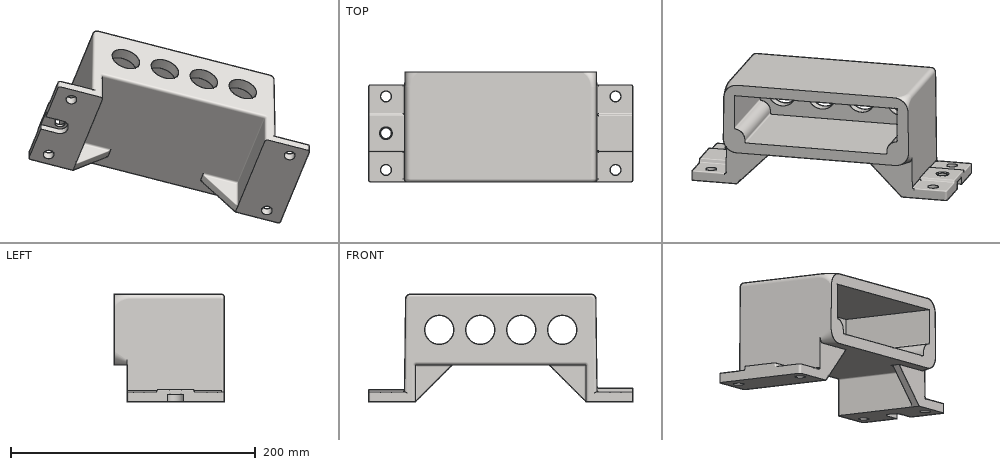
import cadquery as cq
import math

length = 216.0
depth = 90.0
height = 88.0

top_half_width = 77.8
base_half_width = 78.8
leg_inner_half = 69.8
leg_corner_round = 0.9
leg_depth = 79.5
underside_z = 30.0
front_round = 2.4

side_round = 4.0
rear_round = 11.5
flare_length = 12.7
flare_steps = 4

wall = 9.0
cavity_half_width = top_half_width - wall
cavity_floor_z = underside_z + wall
cavity_top_z = height - wall
boss_radius = 8.6
boss_rise = 2.5
boss_blend = 1.3

front_hole_count = 4
front_hole_pitch = 33.5
front_hole_diameter = 23.5
front_hole_z = 58.7

web_reach = underside_z
web_thickness = 6.5
web_blend = 1.7
web_edge_round = 0.6

foot_height = 8.0
foot_corner_round = 2.0
foot_edge_round = 0.9
pad_center_y = 40.0
pad_width = 30.2
left_pad_height = 10.0
right_pad_height = 11.2
pad_edge_round = 0.9
pad_rear_lean = 1.0
cove_radius = 1.3
foot_hole_x = 93.7
foot_hole_diameter = 8.6
foot_hole_pitch = 60.0
pad_hole_chamfer = 0.9
slot_width = 13.4
slot_height = 6.0

margin = 0.6


def side_x(z):
    """Half width of the drafted housing at height z."""
    return base_half_width + (top_half_width - base_half_width) * z / height


def front_plane(y):
    """XZ sketch plane at depth y; extruding runs toward +Y."""
    return cq.Workplane(cq.Plane(origin=(0, y, 0), xDir=(1, 0, 0), normal=(0, -1, 0)))


def prism(points, y_start, y_end):
    """Solid with the given XZ outline, running between two depths."""
    return front_plane(y_start).polyline(points).close().extrude(y_start - y_end)


def mirrored(points):
    """Closed outline from its right half, listed from the top down."""
    return points + [(-x, z) for x, z in reversed(points)]


def round_nearest_edge(body, point, radius):
    """Fillet the one edge whose center lies nearest the point."""
    return body.edges(cq.selectors.NearestToPointSelector(point)).fillet(radius)


def corner_wire(z, direction, setback, y):
    """Sliver between a sharp housing corner at height z and its rounding arc."""
    corner = cq.Vector(side_x(z), y, z)
    inward = cq.Vector(-1, 0, 0)
    next_z = z + direction
    along = cq.Vector(side_x(next_z), y, next_z).sub(corner).normalized()
    half_angle = inward.getAngle(along) / 2
    radius = setback * math.tan(half_angle)
    bisector = inward.add(along).normalized()
    start = corner.add(inward.multiply(setback))
    middle = corner.add(bisector.multiply(radius / math.sin(half_angle) - radius))
    end = corner.add(along.multiply(setback))
    edges = [
        cq.Edge.makeLine(corner, start),
        cq.Edge.makeThreePointArc(start, middle, end),
        cq.Edge.makeLine(end, corner),
    ]
    return cq.Wire.assembleEdges(edges)


def corner_cutter(z, direction, stations):
    """Material to remove along one long corner, given (depth, setback) stations."""
    wires = [corner_wire(z, direction, setback, y) for y, setback in stations]
    ruled = len(stations) == 2
    return cq.Workplane(obj=cq.Solid.makeLoft(wires, ruled))


def flare_stations():
    """Stations whose setback grows along a circular arc that starts tangent."""
    rise = rear_round - side_round
    arc_radius = (flare_length**2 + rise**2) / (2 * rise)
    stations = []
    for step in range(flare_steps + 1):
        run = flare_length * step / flare_steps
        setback = side_round + arc_radius - math.sqrt(arc_radius**2 - run**2)
        stations.append((depth - flare_length + run, setback))
    return stations


def make_housing():
    outline = mirrored([
        (side_x(height), height),
        (side_x(0), 0),
        (leg_inner_half, 0),
        (leg_inner_half, underside_z),
    ])
    overhang = mirrored([(side_x(height), height), (side_x(underside_z), underside_z)])
    housing = prism(outline, 0, leg_depth)
    for side in (-1, 1):
        corner = (side * leg_inner_half, leg_depth / 2, underside_z)
        housing = round_nearest_edge(housing, corner, leg_corner_round)
    housing = housing.union(prism(overhang, leg_depth, depth))
    flare_start = depth - flare_length
    cutters = [
        corner_cutter(height, -2.2, [(0, side_round), (flare_start, side_round)]),
        corner_cutter(height, -2.2, flare_stations()),
        corner_cutter(underside_z, 2.2, [(leg_depth, side_round), (depth, rear_round)]),
    ]
    for cutter in cutters:
        housing = housing.cut(cutter).cut(cutter.mirror("YZ"))
    return housing.faces("<Y").edges("not <Z").fillet(front_round)


def make_webs():
    outline = [
        (leg_inner_half, 0),
        (leg_inner_half, underside_z),
        (leg_inner_half - web_reach, underside_z),
    ]
    web = prism(outline, leg_depth - web_thickness, leg_depth)
    return web.union(web.mirror("YZ"))


def make_cavity():
    """Open-backed cavity with a rounded boss left standing in each lower corner."""
    section_width = 2 * cavity_half_width
    section_height = cavity_top_z - cavity_floor_z
    cavity = (
        front_plane(wall)
        .center(0, cavity_floor_z + section_height / 2)
        .rect(section_width, section_height)
        .extrude(wall - depth)
    )
    bosses = (
        front_plane(wall)
        .pushPoints([(side * cavity_half_width, cavity_floor_z + boss_rise) for side in (-1, 1)])
        .circle(boss_radius)
        .extrude(wall - depth)
    )
    fill = (
        front_plane(wall)
        .pushPoints([(side * cavity_half_width, cavity_floor_z) for side in (-1, 1)])
        .rect(2 * boss_radius, 2 * boss_rise)
        .extrude(wall - depth)
    )
    cavity = cavity.cut(bosses).cut(fill)
    floor_seam_x = cavity_half_width - boss_radius
    wall_seam_z = cavity_floor_z + boss_rise + boss_radius
    seams = [
        (side * x, z)
        for side in (-1, 1)
        for x, z in ((floor_seam_x, cavity_floor_z), (cavity_half_width, wall_seam_z))
    ]
    for x, z in seams:
        cavity = round_nearest_edge(cavity, (x, (wall + depth) / 2, z), boss_blend)
    return cavity


def make_front_holes():
    return (
        front_plane(0)
        .center(0, front_hole_z)
        .rarray(front_hole_pitch, 2.2, front_hole_count, 1)
        .circle(front_hole_diameter / 2)
        .extrude(-depth)
    )


def make_foot(side, pad_height):
    """One foot with its raised middle pad; side is -1 or 1."""
    inner_x = side * (leg_inner_half + front_round)
    foot_width = length / 2 - abs(inner_x)
    pad_start = pad_center_y - pad_width / 2
    pad_end = pad_center_y + pad_width / 2
    foot = (
        cq.Workplane("YZ", origin=(inner_x, 0, 0))
        .polyline([
            (0, 0),
            (leg_depth, 0),
            (leg_depth, foot_height),
            (pad_end + pad_rear_lean / 2, foot_height),
            (pad_end - pad_rear_lean / 2, pad_height),
            (pad_start, pad_height),
            (pad_start, foot_height),
            (0, foot_height),
        ])
        .close()
        .extrude(side * foot_width)
    )
    step_zone = cq.selectors.BoxSelector(
        (-length, pad_start - margin, foot_height - margin),
        (length, pad_end + pad_rear_lean, pad_height + margin),
    )
    outer_face = ">X" if side > 0 else "<X"
    foot = foot.edges("|X").edges(step_zone).fillet(pad_edge_round)
    foot = foot.faces(outer_face).edges("|Z").edges("<Y or >Y").fillet(foot_corner_round)
    foot = foot.faces(outer_face).edges(">Z").fillet(foot_edge_round)
    holes = (
        cq.Workplane()
        .center(side * foot_hole_x, pad_center_y)
        .rarray(2.2, foot_hole_pitch, 1, 2)
        .circle(foot_hole_diameter / 2)
        .extrude(height)
    )
    return foot.cut(holes)


def make_pad_hole():
    """Hole through the left pad, chamfered on top, over an open-ended slot underneath."""
    start = cq.Workplane().center(-foot_hole_x, pad_center_y)
    hole = start.circle(foot_hole_diameter / 2).extrude(left_pad_height)
    cone = (
        start.workplane(offset=left_pad_height - pad_hole_chamfer)
        .circle(foot_hole_diameter / 2)
        .workplane(offset=pad_hole_chamfer)
        .circle(foot_hole_diameter / 2 + pad_hole_chamfer)
        .loft()
    )
    slot_end = start.circle(slot_width / 2).extrude(slot_height)
    slot = (
        start.center(-(length / 2 - foot_hole_x) / 2, 0)
        .rect(length / 2 - foot_hole_x, slot_width)
        .extrude(slot_height)
    )
    return hole.union(cone).union(slot_end).union(slot)


def blend_webs(body):
    """Blend the web fronts into the legs and the underside, and round their sloping edges."""
    front_y = leg_depth - web_thickness
    for side in (-1, 1):
        inner, outer = sorted((side * (leg_inner_half - margin), side * (leg_inner_half + margin)))
        leg_zone = cq.selectors.BoxSelector(
            (inner, front_y - margin, 0), (outer, front_y + margin, underside_z + margin)
        )
        inner, outer = sorted((0, side * (leg_inner_half + margin)))
        roof_zone = cq.selectors.BoxSelector(
            (inner, front_y - margin, underside_z - margin),
            (outer, front_y + margin, underside_z + margin),
        )
        body = body.edges(leg_zone + roof_zone).fillet(web_blend)
        slope_center = (side * (leg_inner_half - web_reach / 2), front_y, underside_z / 2)
        body = round_nearest_edge(body, slope_center, web_edge_round)
    return body


def make_cove(side, z, y_start, y_end):
    """Concave strip blending a foot surface at height z into the housing side."""
    wall_x = side_x(z)
    buried_x = leg_inner_half + front_round
    buried_z = z - cove_radius
    cove = (
        front_plane(y_start)
        .moveTo(buried_x, buried_z)
        .lineTo(wall_x + cove_radius, buried_z)
        .lineTo(wall_x + cove_radius, z)
        .radiusArc((wall_x, z + cove_radius), cove_radius)
        .lineTo(buried_x, z + cove_radius)
        .close()
        .extrude(y_start - y_end)
    )
    return cove if side > 0 else cove.mirror("YZ")


left_foot = make_foot(-1, left_pad_height)
left_cove = make_cove(-1, foot_height, front_round, leg_depth)
right_foot = make_foot(1, right_pad_height)
right_cove = make_cove(1, foot_height, front_round, leg_depth)
right_pad_cove = make_cove(
    1,
    right_pad_height,
    pad_center_y - pad_width / 2 + pad_edge_round,
    pad_center_y + pad_width / 2 - pad_edge_round,
)

result = blend_webs(make_housing().union(make_webs()))
for addition in (left_foot, left_cove, right_foot, right_cove, right_pad_cove):
    result = result.union(addition)
for opening in (make_cavity(), make_front_holes(), make_pad_hole()):
    result = result.cut(opening)